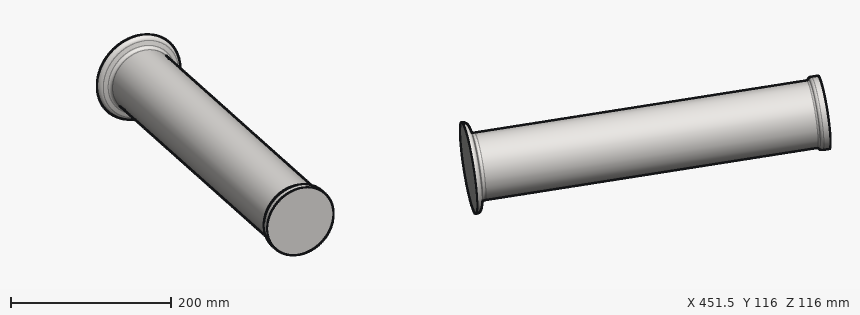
import cadquery as cq
import math

length = 451.5
flange_radius = 58.0
body_radius = 43.0
collar_radius = 46.5

rim_width = 0.5
rim_round = 7.0
root_fillet = 5.0
back_taper = math.radians(15)

step_start = 436.0
step_middle = 438.5
step_end = 442.5


def arc_point(center, radius, angle):
    """Point (x, r) on an arc, with the angle measured from +X."""
    return (center[0] + radius * math.cos(angle), center[1] + radius * math.sin(angle))


rim_center = (rim_width, flange_radius - rim_round)
rim_arc_middle = arc_point(rim_center, rim_round, (math.pi / 2 + back_taper) / 2)
taper_start = arc_point(rim_center, rim_round, back_taper)

root_center_radius = body_radius + root_fillet
taper_end_radius = root_center_radius - root_fillet * math.sin(back_taper)
taper_end_x = taper_start[0] + (taper_start[1] - taper_end_radius) * math.tan(back_taper)
root_center = (taper_end_x + root_fillet * math.cos(back_taper), root_center_radius)
root_arc_middle = arc_point(root_center, root_fillet, (5 * math.pi / 2 + back_taper) / 2)
root_end = (root_center[0], body_radius)

step_fraction = (step_middle - step_start) / (step_end - step_start)
step_middle_radius = body_radius + step_fraction * (collar_radius - body_radius)

profile = (
    cq.Workplane("XY")
    .lineTo(0, flange_radius)
    .lineTo(rim_width, flange_radius)
    .threePointArc(rim_arc_middle, taper_start)
    .lineTo(taper_end_x, taper_end_radius)
    .threePointArc(root_arc_middle, root_end)
    .lineTo(step_start, body_radius)
    .tangentArcPoint((step_middle, step_middle_radius), relative=False)
    .tangentArcPoint((step_end, collar_radius), relative=False)
    .lineTo(length, collar_radius)
    .lineTo(length, 0)
    .close()
)

result = profile.revolve(360, (0, 0, 0), (1, 0, 0))